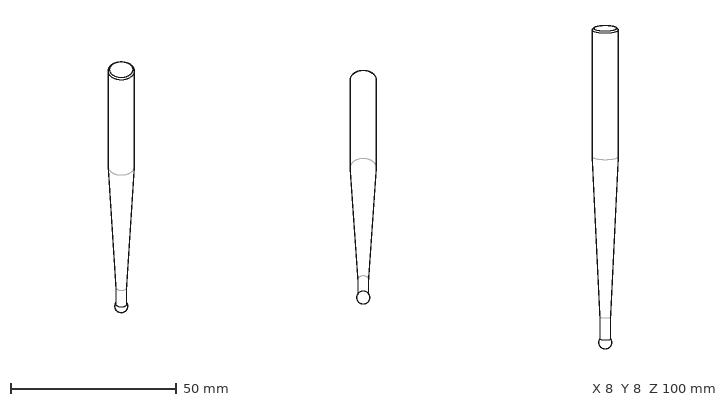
import cadquery as cq
import math

total_length = 100.0
shank_diameter = 8.0
shank_length = 40.0
shank_chamfer = 0.5
neck_diameter = 3.3
neck_top = 10.0
ball_diameter = 4.0

shank_radius = shank_diameter / 2
neck_radius = neck_diameter / 2
ball_radius = ball_diameter / 2
taper_top = total_length - shank_length
ball_top = ball_radius + math.sqrt(ball_radius**2 - neck_radius**2)


def make_holder():
    """Neck, taper and chamfered shank, revolved about Z as one body."""
    return (
        cq.Workplane("XZ")
        .moveTo(0, ball_top)
        .lineTo(neck_radius, ball_top)
        .lineTo(neck_radius, neck_top)
        .lineTo(shank_radius, taper_top)
        .lineTo(shank_radius, total_length - shank_chamfer)
        .lineTo(shank_radius - shank_chamfer, total_length)
        .lineTo(0, total_length)
        .close()
        .revolve(360, (0, 0), (0, 1))
    )


def make_ball_tip():
    """Ball cut flat where it meets the end of the neck."""
    return (
        cq.Workplane("XZ")
        .moveTo(0, 0)
        .threePointArc((ball_radius, ball_radius), (neck_radius, ball_top))
        .lineTo(0, ball_top)
        .close()
        .revolve(360, (0, 0), (0, 1))
    )


holder = make_holder()
ball_tip = make_ball_tip()

result = cq.Compound.makeCompound([holder.val(), ball_tip.val()])